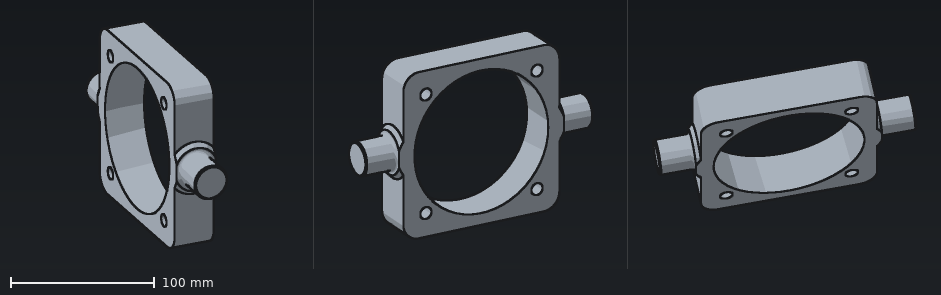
import cadquery as cq

body_side = 125.0
body_thickness = 30.0
corner_radius = 12.5
bore_diameter = 107.0
bolt_hole_diameter = 9.0
bolt_hole_spacing = 89.0

overall_length = 182.0
trunnion_radius = 12.5
end_chamfer = 1.0
root_fillet = 2.0
collar_height = 3.5
collar_top_radius = 16.2
collar_base_radius = collar_top_radius + collar_height

body_half = body_side / 2
bore_radius = bore_diameter / 2
tip_x = overall_length / 2
collar_top_x = body_half + collar_height


def make_body():
    """Rounded square plate before its holes are cut."""
    return (
        cq.Workplane("XY")
        .box(body_side, body_thickness, body_side)
        .edges("|Y")
        .fillet(corner_radius)
    )


def make_trunnion():
    """Turned +X trunnion and collar, rooted inside the body wall."""
    root_x = (body_half + bore_radius) / 2
    fillet_start_x = collar_top_x + root_fillet
    fillet_center_radius = trunnion_radius + root_fillet
    diagonal = root_fillet * 0.5**0.5
    profile = (
        cq.Workplane("XY")
        .moveTo(root_x, 0)
        .lineTo(root_x, collar_base_radius)
        .lineTo(body_half, collar_base_radius)
        .lineTo(collar_top_x, collar_top_radius)
        .lineTo(collar_top_x, fillet_center_radius)
        .threePointArc(
            (fillet_start_x - diagonal, fillet_center_radius - diagonal),
            (fillet_start_x, trunnion_radius),
        )
        .lineTo(tip_x - end_chamfer, trunnion_radius)
        .lineTo(tip_x, trunnion_radius - end_chamfer)
        .lineTo(tip_x, 0)
        .close()
    )
    turned = profile.revolve(360, (0, 0, 0), (1, 0, 0))

    trim = cq.Workplane("XY").box(overall_length, body_thickness, body_side)
    return turned.intersect(trim)


def make_holes():
    """Central bore and the four bolt holes, all through along Y."""
    front_face = cq.Workplane("XZ", origin=(0, -body_thickness / 2, 0))
    bore = front_face.circle(bore_radius).extrude(-body_thickness)
    bolt_holes = (
        front_face
        .rect(bolt_hole_spacing, bolt_hole_spacing, forConstruction=True)
        .vertices()
        .circle(bolt_hole_diameter / 2)
        .extrude(-body_thickness)
    )
    return bore.union(bolt_holes)


trunnion = make_trunnion()
opposite_trunnion = trunnion.mirror("YZ")
result = make_body().union(trunnion).union(opposite_trunnion).cut(make_holes())